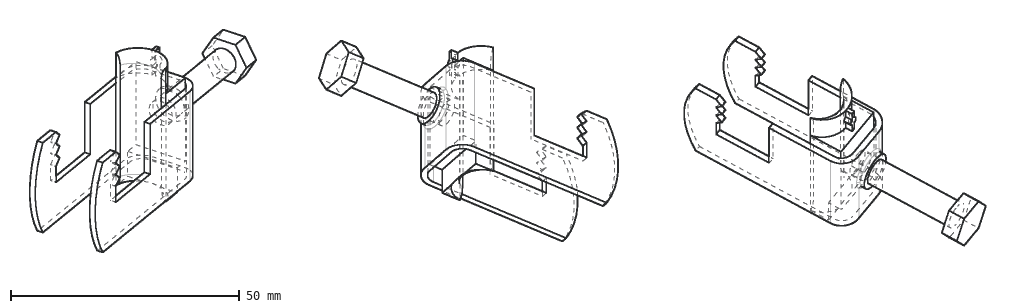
import cadquery as cq
import math


OVERALL_LENGTH = 70.0

BRACKET_WIDTH = 17.0
BRACKET_HEIGHT = 23.0
BRACKET_LENGTH = 43.0
SHEET = 1.5
BEND_RADIUS = 4.5
JAW_BACK = 20.6
JAW_FRONT = 34.5
JAW_FLOOR = 10.15
HOOK_CORNER = 39.9
TOOTH_COUNT = 3
TOOTH_PITCH = 2.95
TOOTH_DEPTH = 1.55
COLLAR_DIAMETER = 8.6
COLLAR_HEIGHT = 1.7
COLLAR_FILLET = 0.6

BOLT_Z = 14.1
SHANK_DIAMETER = 6.0
HEAD_FLATS = 9.95
HEAD_HEIGHT = 4.0
BOLT_END = OVERALL_LENGTH - BRACKET_LENGTH

SADDLE_WIDTH = 12.9
SADDLE_BOTTOM = -2.5
SADDLE_TOP = 31.5
SADDLE_BACK = -3.0
SADDLE_FRONT = -11.05
FOOT_BACK = -6.4
SHELF_Z = 25.1
SHELL_BACK = -5.75
TROUGH_BACK = -7.85
TROUGH_WIDTH = 10.7
MOUTH_RADIUS = 2.95
MOUTH_SECTIONS = 6
RIB_BACK = -4.05
RIB_THICKNESS = 0.9
PEG_DIAMETER = 2.0


def y_cylinder(diameter, z, y_start, y_end):
    """Round bar along Y, centred on X = 0."""
    return (
        cq.Workplane("XZ", origin=(0, y_start, z))
        .circle(diameter / 2)
        .extrude(y_start - y_end)
    )


def box_between(x_size, y_front, y_back, z_low, z_high):
    """Box centred on X = 0 between the given Y and Z limits."""
    return (
        cq.Workplane("XY", origin=(0, (y_front + y_back) / 2, z_low))
        .box(x_size, y_back - y_front, z_high - z_low, centered=(True, True, False))
    )


def bent_sheet():
    """U-shaped strip of constant thickness with rounded bends."""
    outside = box_between(BRACKET_WIDTH, -BRACKET_LENGTH, 0, 0, BRACKET_HEIGHT)
    outside = outside.edges("|Z and >Y").fillet(BEND_RADIUS)
    inside = box_between(BRACKET_WIDTH - 2 * SHEET, -2 * BRACKET_LENGTH, -SHEET, 0, BRACKET_HEIGHT)
    inside = inside.edges("|Z and >Y").fillet(BEND_RADIUS - SHEET)
    return outside.cut(inside)


def hook_profile():
    """Side outline of the legs: jaw opening, teeth and rounded nose."""
    outline = (
        cq.Workplane("YZ", origin=(-BRACKET_WIDTH / 2, 0, 0))
        .moveTo(0, 0)
        .lineTo(-HOOK_CORNER, 0)
        .threePointArc((-BRACKET_LENGTH, BRACKET_HEIGHT / 2), (-HOOK_CORNER, BRACKET_HEIGHT))
        .lineTo(-JAW_FRONT, BRACKET_HEIGHT)
    )
    for tooth in range(TOOTH_COUNT):
        tooth_top = BRACKET_HEIGHT - tooth * TOOTH_PITCH
        outline = outline.lineTo(-JAW_FRONT + TOOTH_DEPTH, tooth_top - TOOTH_PITCH / 2)
        outline = outline.lineTo(-JAW_FRONT, tooth_top - TOOTH_PITCH)
    return (
        outline.lineTo(-JAW_FRONT, JAW_FLOOR)
        .lineTo(-JAW_BACK, JAW_FLOOR)
        .lineTo(-JAW_BACK, BRACKET_HEIGHT)
        .lineTo(0, BRACKET_HEIGHT)
        .close()
        .extrude(BRACKET_WIDTH)
    )


def make_bracket():
    """Bent sheet with hooked legs and a filleted collar around the bolt hole."""
    bracket = bent_sheet().intersect(hook_profile())
    bracket = bracket.union(y_cylinder(COLLAR_DIAMETER, BOLT_Z, COLLAR_HEIGHT, -SHEET / 2))
    reach = COLLAR_DIAMETER / 2 + COLLAR_FILLET
    collar_foot = cq.selectors.BoxSelector(
        (-reach, -SHEET, BOLT_Z - reach),
        (reach, COLLAR_HEIGHT / 2, BOLT_Z + reach),
        boundingbox=True,
    )
    bracket = bracket.edges(collar_foot).fillet(COLLAR_FILLET)
    return bracket.cut(y_cylinder(SHANK_DIAMETER, BOLT_Z, COLLAR_HEIGHT, -2 * SHEET))


def make_bolt():
    """Hexagon-head bolt whose tip rests against the saddle."""
    shank = y_cylinder(SHANK_DIAMETER, BOLT_Z, BOLT_END - HEAD_HEIGHT, SADDLE_BACK)
    head = (
        cq.Workplane("XZ", origin=(0, BOLT_END, BOLT_Z))
        .polygon(6, HEAD_FLATS / math.cos(math.pi / 6))
        .extrude(HEAD_HEIGHT)
    )
    return shank.union(head)


def arch(width, back, z):
    """Outline at height z: an arc from side to side of the front face, closed beyond that face."""
    clear_of_front = SADDLE_FRONT - SHEET
    return (
        cq.Workplane("XY", origin=(0, 0, z))
        .moveTo(-width / 2, SADDLE_FRONT)
        .threePointArc((0, back), (width / 2, SADDLE_FRONT))
        .lineTo(width / 2, clear_of_front)
        .lineTo(-width / 2, clear_of_front)
        .close()
    )


def trough_mouth(end_z, inward):
    """Flare that widens the trough to the full saddle width along a rounded profile."""
    depth = SHELL_BACK - TROUGH_BACK
    full_angle = math.acos(1 - depth / MOUTH_RADIUS)
    start_z = end_z + inward * MOUTH_RADIUS * math.sin(full_angle)
    wires = []
    for section in range(MOUTH_SECTIONS):
        angle = full_angle * section / (MOUTH_SECTIONS - 1)
        flare = (1 - math.cos(angle)) / (1 - math.cos(full_angle))
        width = TROUGH_WIDTH + flare * (SADDLE_WIDTH - TROUGH_WIDTH)
        back = TROUGH_BACK + flare * depth
        z = start_z - inward * MOUTH_RADIUS * math.sin(angle)
        wires.append(arch(width, back, z).val())
    return cq.Workplane(cq.Solid.makeLoft(wires))


def make_saddle():
    """Stepped block with a rounded upper end, a rib crossed by a peg, and a flared trough."""
    length = SADDLE_TOP - SADDLE_BOTTOM
    middle_bottom = SADDLE_BOTTOM + SADDLE_TOP - SHELF_Z
    shell = arch(SADDLE_WIDTH, SHELL_BACK, SHELF_Z).extrude(SADDLE_TOP - SHELF_Z)
    shell = shell.intersect(box_between(SADDLE_WIDTH, SADDLE_FRONT, 0, SHELF_Z, SADDLE_TOP))
    block = box_between(SADDLE_WIDTH, SADDLE_FRONT, SADDLE_BACK, middle_bottom, SHELF_Z)
    foot = box_between(SADDLE_WIDTH, SADDLE_FRONT, FOOT_BACK, SADDLE_BOTTOM, middle_bottom)
    rib = box_between(RIB_THICKNESS, TROUGH_BACK, RIB_BACK, SHELF_Z, SADDLE_TOP)
    peg = y_cylinder(PEG_DIAMETER, (SHELF_Z + SADDLE_TOP) / 2, RIB_BACK, TROUGH_BACK)
    saddle = block.union(foot).union(shell).union(rib).union(peg)
    saddle = saddle.cut(arch(TROUGH_WIDTH, TROUGH_BACK, SADDLE_BOTTOM).extrude(length))
    return saddle.cut(trough_mouth(SADDLE_TOP, -1)).cut(trough_mouth(SADDLE_BOTTOM, 1))


bracket = make_bracket()
bolt = make_bolt()
saddle = make_saddle()

result = cq.Compound.makeCompound([bracket.val(), bolt.val(), saddle.val()])